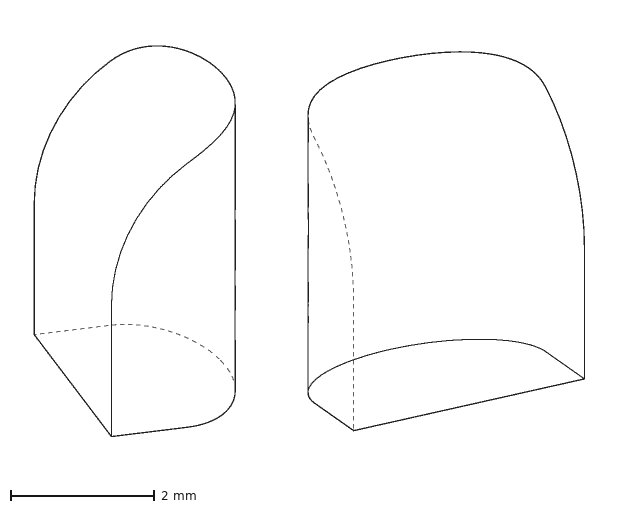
import cadquery as cq

width = 3.7
depth = 2.24
total_height = 4.4
side_depth = 1.11
front_height = 2.0

half_width = width / 2
back_bulge = depth - side_depth


def make_plan_body():
    """Upright block with flat front and sides and a half-elliptical back."""
    return (
        cq.Workplane("XY")
        .moveTo(half_width, side_depth)
        .ellipseArc(half_width, back_bulge, 0, 180, startAtCurrent=True)
        .lineTo(-half_width, 0)
        .lineTo(half_width, 0)
        .close()
        .extrude(total_height)
    )


def make_side_profile():
    """Side outline across the width: the top is an arc tangent to the front face."""
    return (
        cq.Workplane("YZ")
        .lineTo(0, front_height)
        .tangentArcPoint((depth, total_height), relative=False)
        .lineTo(depth, 0)
        .close()
        .extrude(half_width, both=True)
    )


result = make_plan_body().intersect(make_side_profile())